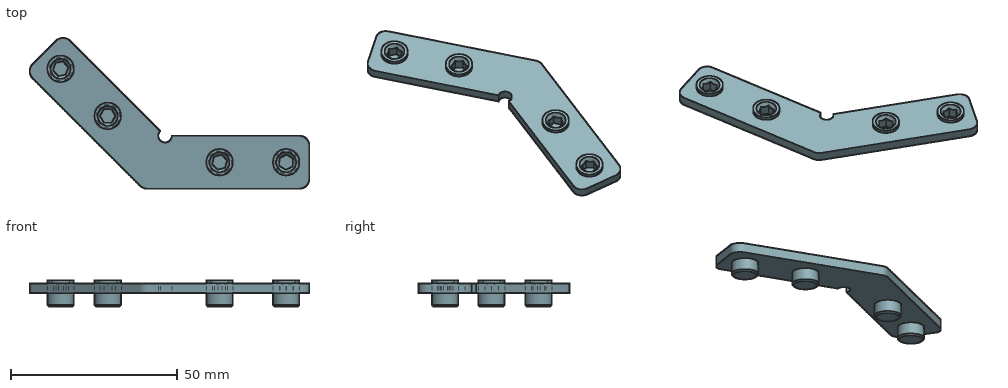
import cadquery as cq
import math

overall_length = 84.1
arm_width = 16.0
plate_thickness = 2.95
corner_radius = 3.0
bend_angle = 135.0
relief_diameter = 4.0

screw_diameter = 8.0
screw_length = 8.0
screw_protrusion = 1.0
tip_chamfer = 0.5
socket_width = 4.0
socket_depth = 4.0
mouth_diameter = 6.0
mouth_cone_angle = 40.0
screw_spacing = 20.0
end_distance = 7.0
straight_arm_socket_turns = (15.0, 28.0)
angled_arm_socket_turns = (0.0, 11.0)

bend_cos = math.cos(math.radians(bend_angle))
bend_sin = math.sin(math.radians(bend_angle))

rounded_end_reach = bend_sin * (arm_width - corner_radius) + bend_cos * corner_radius + corner_radius
arm_length = (overall_length - rounded_end_reach) / (1 - bend_cos)


def straight_arm_point(along, across):
    """Point at a distance from the inner corner and from the arm's inner edge."""
    return along, -across


def angled_arm_point(along, across):
    """The matching point on the angled arm."""
    return along * bend_cos - across * bend_sin, along * bend_sin + across * bend_cos


def make_screw_places():
    """Axis position and socket turn of every screw."""
    outer_along = arm_length - end_distance
    inner_along = outer_along - screw_spacing
    places = []
    for arm_point, turns in (
        (straight_arm_point, straight_arm_socket_turns),
        (angled_arm_point, angled_arm_socket_turns),
    ):
        for along, turn in zip((inner_along, outer_along), turns):
            places.append((arm_point(along, arm_width / 2), turn))
    return places


def make_plate(screw_points):
    """Bent plate with its bottom face on Z = 0 and its inner corner on the Z axis."""
    outer_bend_along = -arm_width / math.tan(math.radians(bend_angle / 2))
    outline = [
        (0, 0),
        straight_arm_point(arm_length, 0),
        straight_arm_point(arm_length, arm_width),
        straight_arm_point(outer_bend_along, arm_width),
        angled_arm_point(arm_length, arm_width),
        angled_arm_point(arm_length, 0),
    ]
    blank = cq.Workplane("XY").polyline(outline).close().extrude(plate_thickness)
    outer_edges = blank.edges("|Z").filter(lambda edge: edge.Center().toTuple()[:2] != (0, 0))
    rounded = blank.newObject(outer_edges.vals()).fillet(corner_radius)
    relief = cq.Workplane("XY").circle(relief_diameter / 2).extrude(plate_thickness)
    screw_holes = (
        cq.Workplane("XY").pushPoints(screw_points).circle(screw_diameter / 2).extrude(plate_thickness)
    )
    return rounded.cut(relief).cut(screw_holes)


def make_screw(point, socket_turn):
    """Set screw with a hexagon socket, a conical socket mouth and a chamfered tip."""
    top = plate_thickness + screw_protrusion
    blank = cq.Workplane("XY").circle(screw_diameter / 2).extrude(-screw_length)
    body = blank.faces("<Z").chamfer(tip_chamfer)
    socket_corner_diameter = socket_width / math.cos(math.pi / 6)
    socket = (
        cq.Workplane("XY")
        .polygon(6, socket_corner_diameter)
        .extrude(-socket_depth)
        .rotate((0, 0, 0), (0, 0, 1), socket_turn)
    )
    cone_height = (mouth_diameter - socket_width) / 2 / math.tan(math.radians(mouth_cone_angle))
    mouth = cq.Workplane(
        cq.Solid.makeCone(mouth_diameter / 2, socket_width / 2, cone_height, dir=cq.Vector(0, 0, -1))
    )
    return body.cut(socket).cut(mouth).translate((*point, top))


screw_places = make_screw_places()
plate = make_plate([point for point, turn in screw_places])
screws = [make_screw(point, turn) for point, turn in screw_places]

result = cq.Compound.makeCompound([plate.val(), *[screw.val() for screw in screws]])